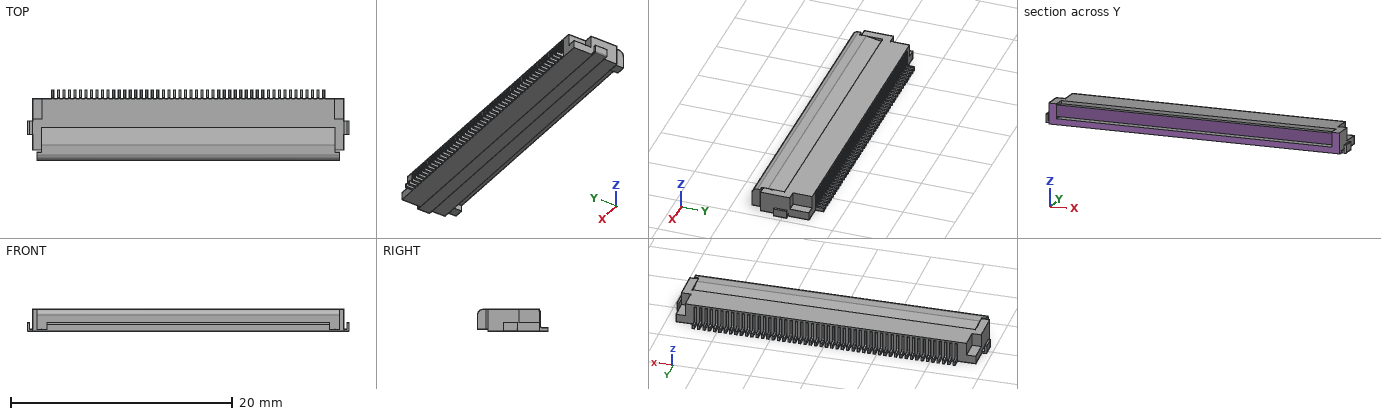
import cadquery as cq


overall_length = 29.1
height = 2.0

housing_length = 28.17
housing_depth = 4.65
arm_width = 0.8
seat_depth = 2.05
floor_height = 0.6
notch_length = 0.87
notch_depth = 1.83
notch_floor = 0.8

tail_count = 50
tail_row_span = 24.5
tail_width = 0.2
tail_reach = 0.8
tail_foot_height = 0.35
tail_riser_thickness = 0.1
tail_riser_top = 1.83
tail_fillet = 0.15

actuator_length = 27.4
actuator_front = 5.62
shoulder_gap = 0.17
nose_radius = 0.52
slope_drop = 0.3
slope_run = 1.57
leg_width = 0.93
fpc_slot_height = 0.17
leg_clearance = 0.17

strap_width = 1.25
strap_rear = 2.0
strap_thickness = 0.2
strap_end_height = 0.8
strap_bend_radius = 0.1

opening_top = floor_height + fpc_slot_height
seat_length = housing_length - 2 * arm_width
seat_rear = housing_depth - seat_depth
shoulder_rear = housing_depth + shoulder_gap
tail_pitch = tail_row_span / (tail_count - 1)


def block(length, y_front, y_rear, z_bottom, z_top, x_center=0.0):
    """Box with the given X length between two Y planes and two Z planes."""
    return (
        cq.Workplane("XY")
        .box(length, y_rear - y_front, z_top - z_bottom, centered=(True, False, False))
        .translate((x_center, y_front, z_bottom))
    )


def extrude_along_x(profile, length):
    """Extrude a closed YZ profile symmetrically about X = 0."""
    return profile.close().extrude(length / 2, both=True)


def make_tail():
    """L-shaped contact tail with its riser against the rear wall, at X = 0."""
    fillet_end = tail_riser_thickness + tail_fillet
    profile = (
        cq.Workplane("YZ")
        .moveTo(0, 0)
        .lineTo(tail_reach, 0)
        .lineTo(tail_reach, tail_foot_height)
        .lineTo(fillet_end, tail_foot_height)
        .radiusArc((tail_riser_thickness, tail_foot_height + tail_fillet), tail_fillet)
        .lineTo(tail_riser_thickness, tail_riser_top)
        .lineTo(0, tail_riser_top)
    )
    return extrude_along_x(profile, tail_width)


def make_strap():
    """Flat hold-down strap with both ends bent upwards."""
    strap = block(overall_length, -strap_rear - strap_width, -strap_rear, 0, strap_end_height)
    strap = strap.edges("|Y and <Z").fillet(strap_bend_radius)
    inner_length = overall_length - 2 * strap_thickness
    opening = block(
        inner_length, -strap_rear - strap_width, -strap_rear, strap_thickness, strap_end_height
    )
    return strap.cut(opening)


def make_housing():
    housing = block(housing_length, -housing_depth, 0, 0, height)

    housing = housing.cut(block(seat_length, -housing_depth, -seat_rear, floor_height, height))

    for side in (-1, 1):
        notch_x = side * (housing_length - notch_length) / 2
        housing = housing.cut(block(notch_length, -notch_depth, 0, notch_floor, height, notch_x))

    housing = housing.cut(
        block(housing_length, -strap_rear - strap_width, -strap_rear, 0, strap_thickness)
    )

    tail = make_tail()
    for index in range(tail_count):
        tail_x = index * tail_pitch - tail_row_span / 2
        housing = housing.union(tail.translate((tail_x, 0, 0)))
    return housing


def make_actuator():
    bar = block(actuator_length, -actuator_front, -shoulder_rear, leg_clearance, height)
    bar = bar.edges("|X and <Y and >Z").fillet(nose_radius)

    neck = block(seat_length, -shoulder_rear, -housing_depth, leg_clearance, height)

    tongue_profile = (
        cq.Workplane("YZ")
        .moveTo(-housing_depth, opening_top)
        .lineTo(-seat_rear, opening_top)
        .lineTo(-seat_rear, height - slope_drop)
        .lineTo(-seat_rear - slope_run, height)
        .lineTo(-housing_depth, height)
    )
    tongue = extrude_along_x(tongue_profile, seat_length)

    opening_length = actuator_length - 2 * leg_width
    opening = block(opening_length, -actuator_front, -housing_depth, leg_clearance, opening_top)
    return bar.union(neck).union(tongue).cut(opening).clean()


housing = make_housing()
actuator = make_actuator()
strap = make_strap()

result = cq.Compound.makeCompound([housing.val(), actuator.val(), strap.val()])